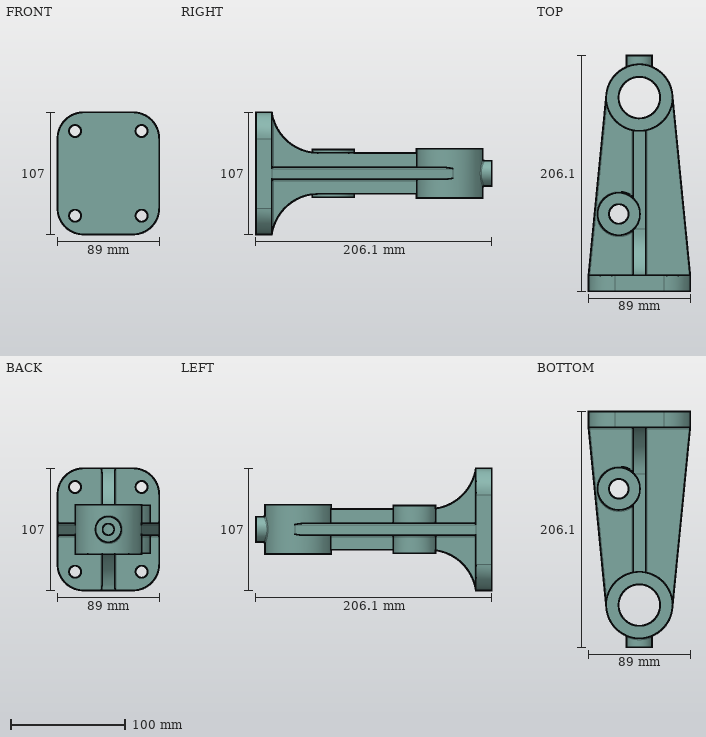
import cadquery as cq
import math

plate_width = 89.0
plate_height = 107.0
plate_thickness = 14.0
plate_corner_radius = 23.0
bolt_diameter = 10.3
bolt_spacing_x = 58.1
bolt_spacing_z = 74.0

overall_length = 206.1
hub_y = 169.2
hub_diameter = 58.1
hub_bore = 36.0
hub_height = 43.0

spigot_diameter = 22.5
oil_hole_diameter = 10.0

boss_x = -18.0
boss_y = 67.6
boss_diameter = 37.0
boss_bore = 17.0
boss_height = 42.0

web_thickness = 10.5
rib_thickness = 11.0
rib_height = 35.9
flare_radius = 41.0
small_fillet = 1.0

tolerance = 0.02

arm_end_y = hub_y + hub_bore / 4


def upright_cylinder(x, y, diameter, height):
    """Cylinder along Z, centred on z = 0."""
    return cq.Workplane("XY", origin=(x, y, -height / 2)).circle(diameter / 2).extrude(height)


def make_plate():
    """Rounded plate with four through holes."""
    return (
        cq.Workplane("XZ")
        .rect(plate_width, plate_height)
        .extrude(-plate_thickness)
        .edges("|Y")
        .fillet(plate_corner_radius)
        .faces("<Y")
        .workplane(origin=(0, 0, 0))
        .rect(bolt_spacing_x, bolt_spacing_z, forConstruction=True)
        .vertices()
        .hole(bolt_diameter)
    )


def make_taper_slab():
    """Slab whose sides run from the edges of the plate's front face to touch the hub tangentially."""
    hub_radius = hub_diameter / 2
    half_width = plate_width / 2
    root_to_hub = hub_y - plate_thickness
    corner_to_hub = math.hypot(half_width, root_to_hub)
    angle = math.acos(hub_radius / corner_to_hub) - math.atan2(root_to_hub, half_width)
    tangent_x = hub_radius * math.cos(angle)
    tangent_y = hub_y + hub_radius * math.sin(angle)
    return (
        cq.Workplane("XY")
        .moveTo(-half_width, plate_thickness)
        .lineTo(half_width, plate_thickness)
        .lineTo(tangent_x, tangent_y)
        .lineTo(-tangent_x, tangent_y)
        .close()
        .extrude(plate_height / 2, both=True)
    )


def make_flare_slab():
    """Slab as high as the rib, with concave arcs widening it to the full plate height."""
    half_rib = rib_height / 2
    half_plate = plate_height / 2
    rise = half_plate - half_rib
    flare_length = math.sqrt(flare_radius**2 - (flare_radius - rise) ** 2)
    flare_end_y = plate_thickness + flare_length
    half_sweep = math.asin(flare_length / flare_radius) / 2
    mid_y = flare_end_y - flare_radius * math.sin(half_sweep)
    mid_z = half_rib + flare_radius * (1 - math.cos(half_sweep))
    return (
        cq.Workplane("YZ")
        .moveTo(plate_thickness, -half_plate)
        .threePointArc((mid_y, -mid_z), (flare_end_y, -half_rib))
        .lineTo(arm_end_y, -half_rib)
        .lineTo(arm_end_y, half_rib)
        .lineTo(flare_end_y, half_rib)
        .threePointArc((mid_y, mid_z), (plate_thickness, half_plate))
        .close()
        .extrude(plate_width / 2, both=True)
    )


def spigot_cylinder(diameter):
    """Cylinder along Y from the hub axis to the far end of the part."""
    return cq.Workplane("XZ", origin=(0, hub_y, 0)).circle(diameter / 2).extrude(hub_y - overall_length)


def is_root_edge(edge):
    """True where the faces of web, rib and blank plate meet, or the boss meets the web."""
    center = edge.Center()
    box = edge.BoundingBox()
    on_plate = abs(center.y - plate_thickness) < tolerance and box.ylen < tolerance
    on_web = abs(abs(center.z) - web_thickness / 2) < tolerance and box.zlen < tolerance
    on_rib = abs(abs(center.x) - rib_thickness / 2) < tolerance and box.xlen < tolerance
    around_boss = on_web and edge.geomType() == "CIRCLE"
    return [on_plate, on_web, on_rib].count(True) == 2 or around_boss


def is_web_side(edge):
    """True for the long sloping edges at the sides of the web."""
    center = edge.Center()
    on_web = abs(abs(center.z) - web_thickness / 2) < tolerance
    box = edge.BoundingBox()
    sloping = box.xlen > tolerance and box.ylen > tolerance
    return on_web and sloping and edge.geomType() == "LINE"


def make_arm():
    """Web and rib blended into each other, the boss and the plate face, then cut to the arm's outlines."""
    arm_length = arm_end_y - plate_thickness
    blank_width = 2 * plate_width
    blank_height = 2 * plate_height
    plate_face = cq.Workplane("XZ", origin=(0, plate_thickness, 0))
    web = plate_face.rect(blank_width, web_thickness).extrude(-arm_length)
    rib = plate_face.rect(rib_thickness, blank_height).extrude(-arm_length)
    backing = plate_face.rect(blank_width, blank_height).extrude(plate_thickness / 2)
    boss = upright_cylinder(boss_x, boss_y, boss_diameter, blank_height)
    blank = backing.union(web).union(rib).union(boss)
    blended = blank.edges().filter(is_root_edge).fillet(small_fillet)
    arm = blended.intersect(make_taper_slab())
    boss_limit = upright_cylinder(boss_x, boss_y, boss_diameter, boss_height)
    arm = arm.intersect(make_flare_slab().union(boss_limit))
    return arm.edges().filter(is_web_side).fillet(small_fillet)


def make_head():
    """Hub and spigot with a small fillet where they meet."""
    hub = upright_cylinder(0, hub_y, hub_diameter, hub_height)
    head = hub.union(spigot_cylinder(spigot_diameter))
    reach = spigot_diameter / 2 + small_fillet
    seam_zone = cq.selectors.BoxSelector(
        (-reach, hub_y, -reach),
        (reach, overall_length - small_fillet, reach),
        boundingbox=True,
    )
    return head.edges(seam_zone).fillet(small_fillet)


result = make_plate().union(make_arm()).union(make_head())

result = result.cut(upright_cylinder(0, hub_y, hub_bore, hub_height))
result = result.cut(upright_cylinder(boss_x, boss_y, boss_bore, boss_height))
result = result.cut(spigot_cylinder(oil_hole_diameter))